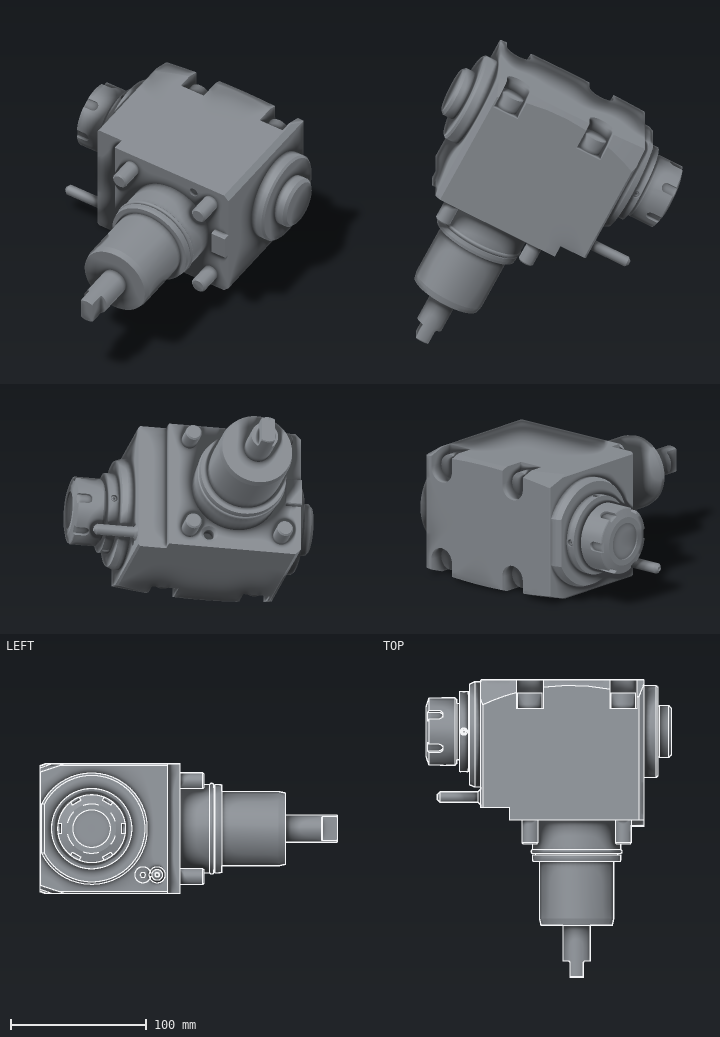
import cadquery as cq
import math


LEFT_X = -70.7
RIGHT_X = 49.8
BACK_Y = 103.4
HEIGHT = 96.0
STEP_X = -49.5
STEP_DEPTH = 9.2
RIGHT_CHAMFER = 4.0
LEFT_CHAMFER = 1.5
BACK_CHAMFER = 0.7

RELIEF_AXIS_X = -4.5
RELIEF_RADIUS = 153.6
RELIEF_START_Y = 99.2
RELIEF_ANGLE = 20
RELIEF_DEPTH = 11
RELIEF_OUTER_RADIUS = 219.5

KEY_LENGTH = 11.9
KEY_WIDTH = 19.8
KEY_HEIGHT = 4.8
KEY_CHAMFER = 0.7

BOLT_X = 34.5
BOLT_Z = 35.3
BOLT_RADIUS = 6.0
BOLT_REACH = 17.8
BOLT_CHAMFER = 1.0
POCKET_WIDTH = 20.0
POCKET_FLOOR_Y = 82.3
HEAD_RADIUS = 9.0
HEAD_HEIGHT = 11.2

PORT_X = 19.0
PORT_Z = 37.5
DOWEL_RADIUS = 3.5
DOWEL_DEPTH = 2.0
COOLANT_BORE_RADIUS = 4.0
COOLANT_BORE_DEPTH = 8.8
COOLANT_SINK_RADIUS = 6.1
COOLANT_SINK_DEPTH = 1.8

COLLAR_RADIUS = 32.7
COLLAR_LENGTH = 30.7
COLLAR_END_RADIUS = 32.3
COLLAR_TAPER = 2.2
GROOVE_START = 21.7
GROOVE_END = 25.7
RING_SECTION_RADIUS = 1.5
RING_PROUD = 0.9
SLEEVE_RADIUS = 27.5
SLEEVE_END_RADIUS = 26.3
SLEEVE_TAPER = 4.8
SLEEVE_LENGTH = 77.7
SHAFT_RADIUS = 10.0
SHAFT_END = 116.1
SHAFT_CHAMFER = 0.7
TANG_START = 104.0
TANG_THICKNESS = 9.9
TANG_ROOT_CHAMFER = 0.9

SPINDLE_Y = 65.2
FLANGE_RADIUS = 41.0
FLANGE_END_RADIUS = 39.3
FLANGE_END_X = -79
FLANGE_TAPER = 4.2
FLANGE_FLAT = 36.9
FLANGE_FLAT_CHAMFER = 2.0
GAP = 0.7
GAP_RADIUS = 27.5
DISC_RADIUS = 29.6
DISC_END_X = -86.5
NECK_RADIUS = 20.9
SET_SCREWS = 4
SET_SCREW_HOLE_RADIUS = 2.6
SET_SCREW_RADIUS = 1.8
SET_SCREW_SINK = 1.0
SET_SCREW_DEPTH = 2.6
SET_SCREW_SOCKET = 2.2

NUT_RADIUS = 25.0
NUT_REAR_X = -88.2
NUT_REAR_CHAMFER = 1.5
NUT_EDGE_X = -109.0
NUT_FRONT_X = -111.0
NUT_EDGE_RADIUS = 24.4
NUT_EDGE_BEVEL = 0.5
NUT_FACE_RADIUS = 18.2
COLLET_RADIUS = 13.8
COLLET_SINK = 1.0
NUT_SLOTS = 6
NUT_SLOT_WIDTH = 7.2
NUT_SLOT_END_X = -98.3
NUT_SLOT_FLOOR_RADIUS = 22.2

CAP_RADIUS = 34.0
CAP_END_X = 60.1
CAP_CHAMFER = 1.5
CAP_NECK_RADIUS = 18.9
CAP_NECK_END_X = 61.2
BOSS_RADIUS = 19.3
BOSS_END_X = 70.0
BOSS_CHAMFER = 2.2

NOZZLE_Y = 17.0
PLUG_Y = 27.5
NOZZLE_Z = -34.0
NOZZLE_RADIUS = 4.0
NOZZLE_TIP_X = -102.7
NOZZLE_TIP_CHAMFER = 2.2
NOZZLE_BASE_RADIUS = 6.0
NOZZLE_BASE_HEIGHT = 2.0
NOZZLE_BORE_RADIUS = 1.3
NOZZLE_BORE_DEPTH = 6.5
PLUG_RADIUS = 6.0
PLUG_SINK = 0.5
PLUG_SOCKET = 4.2
PLUG_SOCKET_DEPTH = 2.2

HEX_SIDES = 6
OVERLAP = 2.2


def cylinder_x(radius, x_start, x_end, y, z):
    """Cylinder along X between two X positions."""
    return cq.Workplane("YZ", origin=(x_start, y, z)).circle(radius).extrude(x_end - x_start)


def cylinder_y(radius, y_start, y_end, x, z):
    """Cylinder along Y between two Y positions."""
    return cq.Workplane("XZ", origin=(x, y_start, z)).circle(radius).extrude(y_start - y_end)


def turned_on_spindle(profile):
    """Solid of revolution about the spindle axis from (x, radius) points."""
    points = [(x, SPINDLE_Y + radius) for x, radius in profile]
    return cq.Workplane("XY").polyline(points).close().revolve(
        360, (0, SPINDLE_Y, 0), (1, SPINDLE_Y, 0)
    )


def make_block():
    """Housing block with its front step, edge chamfers and back relief."""
    block = (
        cq.Workplane("XY", origin=(0, 0, -HEIGHT / 2))
        .moveTo(LEFT_X, STEP_DEPTH)
        .lineTo(STEP_X, STEP_DEPTH)
        .lineTo(STEP_X, 0)
        .lineTo(RIGHT_X, 0)
        .lineTo(RIGHT_X, BACK_Y)
        .lineTo(LEFT_X, BACK_Y)
        .close()
        .extrude(HEIGHT)
    )
    block = block.faces(">X").edges("|Y").chamfer(RIGHT_CHAMFER)
    block = block.faces("<X").edges("|Y").chamfer(LEFT_CHAMFER)
    block = block.faces(">Y").edges().chamfer(BACK_CHAMFER)
    for side in (1, -1):
        block = block.cut(make_relief(side))
    return block


def make_relief(side):
    """Ring with a conical inner wall, turned about an axis parallel to Z; side is +1 top, -1 bottom."""
    axis_y = RELIEF_START_Y - RELIEF_RADIUS
    slope = math.tan(math.radians(RELIEF_ANGLE))
    z_face = side * HEIGHT / 2
    z_low = z_face - side * RELIEF_DEPTH
    z_high = z_face + side * OVERLAP
    low_radius = RELIEF_RADIUS + RELIEF_DEPTH / slope
    high_radius = RELIEF_RADIUS - OVERLAP / slope
    return (
        cq.Workplane("XZ", origin=(RELIEF_AXIS_X, axis_y, 0))
        .polyline([
            (low_radius, z_low),
            (RELIEF_OUTER_RADIUS, z_low),
            (RELIEF_OUTER_RADIUS, z_high),
            (high_radius, z_high),
        ])
        .close()
        .revolve(360, (0, 0, 0), (0, 1, 0))
    )


def make_key():
    """Locating key standing on the mounting face at the right edge."""
    return (
        cq.Workplane("XY")
        .box(KEY_LENGTH, KEY_HEIGHT + OVERLAP, KEY_WIDTH, centered=(False, False, True))
        .translate((RIGHT_X - KEY_LENGTH, -KEY_HEIGHT, 0))
        .faces("<Y").edges("|X").chamfer(KEY_CHAMFER)
    )


def make_head_pocket(x, side):
    """Round-bottomed pocket in the back, open to the top (side +1) or bottom (side -1) face."""
    depth = BACK_Y - POCKET_FLOOR_Y
    z = side * BOLT_Z
    round_end = cylinder_y(POCKET_WIDTH / 2, POCKET_FLOOR_Y, BACK_Y, x, z)
    opening = (
        cq.Workplane("XY")
        .box(POCKET_WIDTH, depth, HEIGHT / 2, centered=(True, False, True))
        .translate((x, POCKET_FLOOR_Y, z + side * HEIGHT / 4))
    )
    return round_end.union(opening)


def make_bolt(x, z):
    """Mounting bolt: head in its pocket, chamfered shank end below the mounting face."""
    shank = cylinder_y(BOLT_RADIUS, -BOLT_REACH, POCKET_FLOOR_Y, x, z)
    shank = shank.faces("<Y").chamfer(BOLT_CHAMFER)
    head = cylinder_y(HEAD_RADIUS, POCKET_FLOOR_Y - OVERLAP, POCKET_FLOOR_Y + HEAD_HEIGHT, x, z)
    return shank.union(head)


def make_coolant_port():
    """Countersunk coolant bore in the mounting face."""
    return (
        cq.Workplane("XY", origin=(-PORT_X, 0, -PORT_Z))
        .polyline([
            (0, 0),
            (COOLANT_SINK_RADIUS, 0),
            (COOLANT_BORE_RADIUS, COOLANT_SINK_DEPTH),
            (COOLANT_BORE_RADIUS, COOLANT_BORE_DEPTH),
            (0, COOLANT_BORE_DEPTH),
        ])
        .close()
        .revolve(360, (0, 0, 0), (0, 1, 0))
    )


def make_shank():
    """Stepped shank with the O-ring groove, turned about the Y axis."""
    groove_radius = COLLAR_RADIUS + RING_PROUD - 2 * RING_SECTION_RADIUS
    return (
        cq.Workplane("XY")
        .polyline([
            (0, OVERLAP),
            (COLLAR_RADIUS, OVERLAP),
            (COLLAR_RADIUS, -GROOVE_START),
            (groove_radius, -GROOVE_START),
            (groove_radius, -GROOVE_END),
            (COLLAR_RADIUS, -GROOVE_END),
            (COLLAR_RADIUS, COLLAR_TAPER - COLLAR_LENGTH),
            (COLLAR_END_RADIUS, -COLLAR_LENGTH),
            (SLEEVE_RADIUS, -COLLAR_LENGTH),
            (SLEEVE_RADIUS, SLEEVE_TAPER - SLEEVE_LENGTH),
            (SLEEVE_END_RADIUS, -SLEEVE_LENGTH),
            (0, -SLEEVE_LENGTH),
        ])
        .close()
        .revolve(360, (0, 0, 0), (0, 1, 0))
    )


def make_drive_shaft():
    """Drive shaft whose end is milled down to a flat tang."""
    shaft = cylinder_y(SHAFT_RADIUS, -SHAFT_END, OVERLAP - SLEEVE_LENGTH, 0, 0)
    shaft = shaft.faces("<Y").chamfer(SHAFT_CHAMFER)
    half = TANG_THICKNESS / 2
    for side in (1, -1):
        flat = (
            cq.Workplane("XY")
            .polyline([
                (side * half, -SHAFT_END),
                (side * half, -TANG_START - TANG_ROOT_CHAMFER),
                (side * (half + TANG_ROOT_CHAMFER), -TANG_START),
                (side * SHAFT_RADIUS, -TANG_START),
                (side * SHAFT_RADIUS, -SHAFT_END),
            ])
            .close()
            .extrude(SHAFT_RADIUS, both=True)
        )
        shaft = shaft.cut(flat)
    return shaft


def make_flange():
    """Tapered spindle flange, flattened towards the back."""
    flange = turned_on_spindle([
        (LEFT_X + OVERLAP, 0),
        (LEFT_X + OVERLAP, FLANGE_RADIUS),
        (FLANGE_END_X + FLANGE_TAPER, FLANGE_RADIUS),
        (FLANGE_END_X, FLANGE_END_RADIUS),
        (FLANGE_END_X, 0),
    ])
    flat_y = SPINDLE_Y + FLANGE_FLAT
    beyond_y = SPINDLE_Y + FLANGE_RADIUS
    beyond_flat = (
        cq.Workplane("XY")
        .polyline([
            (LEFT_X + OVERLAP, flat_y),
            (FLANGE_END_X + FLANGE_TAPER, flat_y),
            (FLANGE_END_X, flat_y - FLANGE_FLAT_CHAMFER),
            (FLANGE_END_X, beyond_y),
            (LEFT_X + OVERLAP, beyond_y),
        ])
        .close()
        .extrude(FLANGE_RADIUS, both=True)
    )
    return flange.cut(beyond_flat)


def make_spindle_nose():
    """Locking disc and collet nut, with the narrow gap behind the disc."""
    return turned_on_spindle([
        (FLANGE_END_X + OVERLAP, 0),
        (FLANGE_END_X + OVERLAP, GAP_RADIUS),
        (FLANGE_END_X - GAP, GAP_RADIUS),
        (FLANGE_END_X - GAP, DISC_RADIUS),
        (DISC_END_X, DISC_RADIUS),
        (DISC_END_X, NECK_RADIUS),
        (NUT_REAR_X, NECK_RADIUS),
        (NUT_REAR_X, NUT_RADIUS - NUT_REAR_CHAMFER),
        (NUT_REAR_X - NUT_REAR_CHAMFER, NUT_RADIUS),
        (NUT_EDGE_X + NUT_EDGE_BEVEL, NUT_RADIUS),
        (NUT_EDGE_X, NUT_EDGE_RADIUS),
        (NUT_FRONT_X, NUT_FACE_RADIUS),
        (NUT_FRONT_X, COLLET_RADIUS),
        (NUT_FRONT_X + COLLET_SINK, COLLET_RADIUS),
        (NUT_FRONT_X + COLLET_SINK, 0),
    ])


def make_nut_slot():
    """Round-ended wrench slot on the front (-Y) side of the nut."""
    radius = NUT_SLOT_WIDTH / 2
    straight_end = NUT_SLOT_END_X - radius
    depth = NUT_RADIUS + OVERLAP - NUT_SLOT_FLOOR_RADIUS
    return (
        cq.Workplane("XZ", origin=(0, SPINDLE_Y - NUT_SLOT_FLOOR_RADIUS, 0))
        .moveTo(NUT_FRONT_X, -radius)
        .lineTo(straight_end, -radius)
        .threePointArc((NUT_SLOT_END_X, 0), (straight_end, radius))
        .lineTo(NUT_FRONT_X, radius)
        .close()
        .extrude(depth)
    )


def make_set_screw_hole():
    """Hole in the rim of the disc, on its front (-Y) side, with a sunk socket screw in it."""
    x = (DISC_END_X + FLANGE_END_X - GAP) / 2
    rim_y = SPINDLE_Y - DISC_RADIUS
    hole = cylinder_y(SET_SCREW_HOLE_RADIUS, rim_y - OVERLAP, rim_y + SET_SCREW_DEPTH, x, 0)
    screw = cylinder_y(SET_SCREW_RADIUS, rim_y + SET_SCREW_SINK, rim_y + SET_SCREW_DEPTH, x, 0)
    socket = (
        cq.Workplane("XZ", origin=(x, rim_y + SET_SCREW_DEPTH, 0))
        .polygon(HEX_SIDES, SET_SCREW_SOCKET)
        .extrude(SET_SCREW_DEPTH)
    )
    return hole.cut(screw).union(socket)


def around_spindle(shape, count):
    """Copies of a shape spaced evenly around the spindle axis."""
    return [
        shape.rotate((0, SPINDLE_Y, 0), (1, SPINDLE_Y, 0), index * 360 / count)
        for index in range(count)
    ]


def make_cap():
    """Bearing cap on the right face with the chamfered spindle end."""
    cap = turned_on_spindle([
        (RIGHT_X - OVERLAP, 0),
        (RIGHT_X - OVERLAP, CAP_RADIUS),
        (CAP_END_X - CAP_CHAMFER, CAP_RADIUS),
        (CAP_END_X, CAP_RADIUS - CAP_CHAMFER),
        (CAP_END_X, CAP_NECK_RADIUS),
        (CAP_NECK_END_X, CAP_NECK_RADIUS),
        (CAP_NECK_END_X, BOSS_RADIUS),
        (BOSS_END_X, BOSS_RADIUS),
        (BOSS_END_X, 0),
    ])
    return cap.faces(">X").edges().chamfer(BOSS_CHAMFER)


def make_nozzle():
    """Coolant nozzle with a flared base and a chamfered, bored tip."""
    base_x = LEFT_X - NOZZLE_BASE_HEIGHT
    tube = cylinder_x(NOZZLE_RADIUS, NOZZLE_TIP_X, LEFT_X + OVERLAP, NOZZLE_Y, NOZZLE_Z)
    tube = tube.faces("<X").chamfer(NOZZLE_TIP_CHAMFER)
    base = (
        cq.Workplane("YZ", origin=(base_x, NOZZLE_Y, NOZZLE_Z))
        .circle(NOZZLE_RADIUS)
        .workplane(offset=NOZZLE_BASE_HEIGHT)
        .circle(NOZZLE_BASE_RADIUS)
        .loft()
    )
    bore_end = NOZZLE_TIP_X + NOZZLE_BORE_DEPTH
    bore = cylinder_x(NOZZLE_BORE_RADIUS, NOZZLE_TIP_X, bore_end, NOZZLE_Y, NOZZLE_Z)
    return tube.union(base).cut(bore)


def make_plug_recess():
    """Slightly sunk face of the coolant plug with its hexagon socket."""
    recess = cylinder_x(PLUG_RADIUS, LEFT_X, LEFT_X + PLUG_SINK, PLUG_Y, NOZZLE_Z)
    socket = (
        cq.Workplane("YZ", origin=(LEFT_X, PLUG_Y, NOZZLE_Z))
        .polygon(HEX_SIDES, PLUG_SOCKET)
        .extrude(PLUG_SOCKET_DEPTH)
    )
    return recess.union(socket)


def make_holder():
    """Complete holder: housing, bolts, shank, spindle side and cap."""
    holder = make_block().union(make_key())
    holder = holder.cut(make_coolant_port())
    holder = holder.cut(cylinder_y(DOWEL_RADIUS, 0, DOWEL_DEPTH, PORT_X, PORT_Z))
    holder = holder.cut(make_plug_recess())
    for x in (BOLT_X, -BOLT_X):
        for side in (1, -1):
            holder = holder.cut(make_head_pocket(x, side))
            holder = holder.union(make_bolt(x, side * BOLT_Z))
    nose = make_spindle_nose()
    for slot in around_spindle(make_nut_slot(), NUT_SLOTS):
        nose = nose.cut(slot)
    for hole in around_spindle(make_set_screw_hole(), SET_SCREWS):
        nose = nose.cut(hole)
    for part in (make_shank(), make_drive_shaft(), make_flange(), nose, make_cap(), make_nozzle()):
        holder = holder.union(part)
    return holder


def make_o_ring():
    """O-ring resting on the groove floor, against the groove wall nearer the housing."""
    centre_radius = COLLAR_RADIUS + RING_PROUD - RING_SECTION_RADIUS
    return (
        cq.Workplane("XY")
        .center(centre_radius, -GROOVE_START - RING_SECTION_RADIUS)
        .circle(RING_SECTION_RADIUS)
        .revolve(360, (-centre_radius, 0, 0), (-centre_radius, 1, 0))
    )


holder = make_holder()
o_ring = make_o_ring()

result = cq.Compound.makeCompound([holder.val(), o_ring.val()])